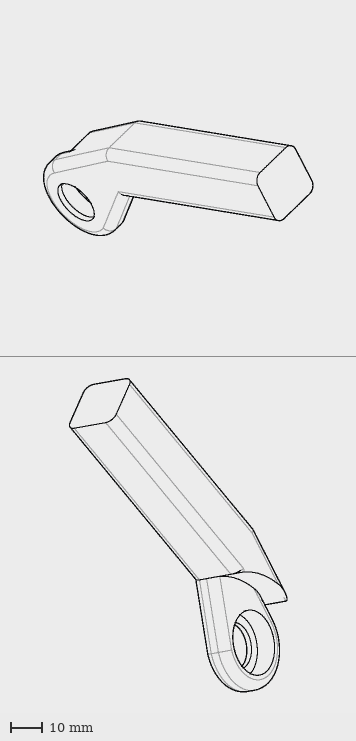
import cadquery as cq
import math

length = 98.0
height = 87.5
thickness = 19.0

eye_radius = 15.0
eye_thickness = 9.0
bore_diameter = 15.0
counterbore_diameter = 21.0
lip_thickness = 2.0
lower_edge_angle = -20.3

relief_overrun = 5.1
relief_rise = 3.3

arm_width = 18.8
arm_slope = 31.5
upper_length = 72.8
lower_length = 73.9

edge_radius = 3.0

arm_angle = math.radians(arm_slope)
along_arm = cq.Vector(math.cos(arm_angle), math.sin(arm_angle))
across_arm = cq.Vector(-math.sin(arm_angle), math.cos(arm_angle))
end_top_z = height - eye_radius
end_lower = cq.Vector(length - eye_radius, end_top_z - arm_width * math.cos(arm_angle))
end_upper = end_lower + across_arm * arm_width
bend_upper = end_upper - along_arm * upper_length
bend_lower = end_lower - along_arm * lower_length


bend_direction = math.atan2(bend_upper.y, bend_upper.x)
upper_angle = bend_direction + math.acos(eye_radius / bend_upper.Length)
lower_angle = math.radians(lower_edge_angle)
eye_upper = cq.Vector(math.cos(upper_angle), math.sin(upper_angle)) * eye_radius
eye_lower = cq.Vector(math.cos(lower_angle), math.sin(lower_angle)) * eye_radius


def flat(point):
    """Plane coordinates of an outline point."""
    return point.x, point.y


def lever(depth):
    """Lever outline extruded towards +Y, rounded along both faces but not at the arm end."""
    lowest = (0, -eye_radius)
    body = (
        cq.Workplane("XZ")
        .moveTo(*flat(end_upper))
        .lineTo(*flat(bend_upper))
        .lineTo(*flat(eye_upper))
        .threePointArc(lowest, flat(eye_lower))
        .lineTo(*flat(bend_lower))
        .lineTo(*flat(end_lower))
        .close()
        .extrude(-depth)
    )
    end_center = (end_upper + end_lower) * 0.5
    end_face = cq.selectors.NearestToPointSelector((end_center.x, depth / 2, end_center.y))
    end_edges = body.faces(end_face).edges().vals()
    rims = [
        edge
        for edge in body.faces("<Y or >Y").edges().vals()
        if not any(edge.isSame(end_edge) for end_edge in end_edges)
    ]
    return body.newObject(rims).fillet(edge_radius)


def cylinder(radius, start, depth):
    """Cylinder around the eye axis, from the given Y towards +Y."""
    return cq.Workplane("XZ", origin=(0, start, 0)).circle(radius).extrude(-depth)


def relief():
    """Tool that clears the thick arm around the eye, behind its front rounding."""
    start = eye_upper + (bend_upper - eye_upper).normalized() * relief_overrun
    chord = bend_lower - start
    upward = cq.Vector(-chord.y, chord.x).normalized()
    crown = (start + bend_lower) * 0.5 + upward * relief_rise
    left = -2 * eye_radius
    bottom = -2 * eye_radius
    return (
        cq.Workplane("XZ", origin=(0, edge_radius, 0))
        .moveTo(left, start.y)
        .lineTo(*flat(start))
        .threePointArc(flat(crown), flat(bend_lower))
        .lineTo(bend_lower.x, bottom)
        .lineTo(left, bottom)
        .close()
        .extrude(-thickness)
    )


arm = lever(thickness).cut(relief())
result = arm.union(lever(eye_thickness)).clean()

result = result.cut(cylinder(bore_diameter / 2, 0, eye_thickness))
result = result.cut(cylinder(counterbore_diameter / 2, lip_thickness, eye_thickness - lip_thickness))